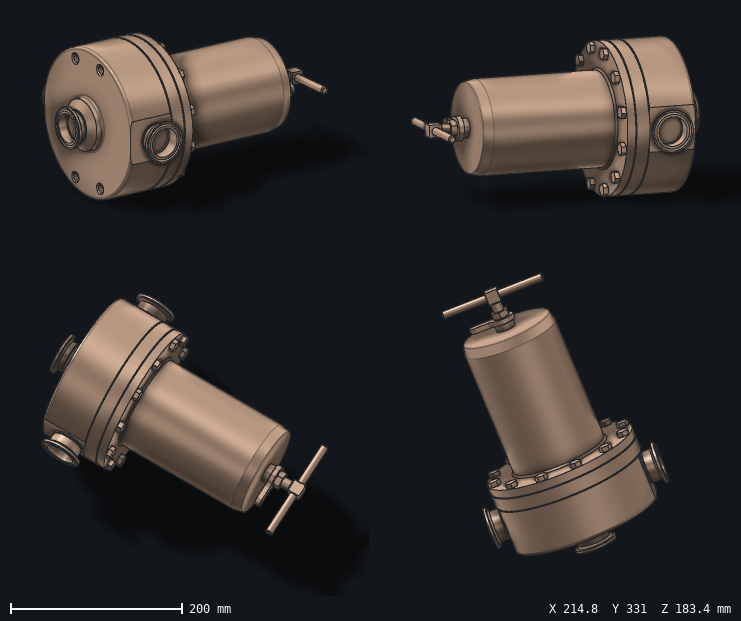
import cadquery as cq
import math


total_length = 331.0
nozzle_span = 214.8
flange_radius = 91.7

body_floor_y = 29.0
nozzle_y = 64.2
body_top_y = 87.5
flange_joint_y = 104.5
flange_top_y = 115.2
bonnet_shoulder_y = 269.0
bonnet_top_y = 281.5
lever_bottom_y = 290.0
lever_top_y = 296.2
nut_top_y = 304.0

body_edge_fillet = 3.3
side_flat_x = 87.7
joint_groove_width = 1.0
joint_groove_depth = 1.0

ferrule_radius = 25.0
ferrule_rim_thickness = 3.3
ferrule_neck_radius = 22.5
ferrule_neck_height = 4.0
ferrule_length = 6.3
pipe_radius = 19.2
bore_radius = 17.5
gasket_groove_radius = 22.0
gasket_groove_width = 2.5
gasket_groove_depth = 1.3
weld_groove_width = 1.0
weld_groove_depth = 0.5
side_weld_gap = 1.5

boss_radius = 31.5
boss_base_fillet = 3.0
boss_shoulder_y = 20.2
boss_end_radius = 20.2
boss_end_y = 13.5

mount_pitch_x = 50.5
mount_pitch_z = 147.0
mount_radius = 5.3
mount_mouth_radius = 7.0
mount_chamfer = mount_mouth_radius - mount_radius
mount_depth = 8.3

bonnet_radius = 57.3
bonnet_top_radius = 54.3
bonnet_base_chamfer = 2.5
bonnet_top_fillet = 1.0

bolt_count = 12
bolt_circle_radius = 83.7
bolt_head_corner_diameter = 15.0
bolt_head_height = 6.0
bolt_head_twist = 15.0
first_bolt_angle = 15.0

collar_radius = 11.5
spindle_radius = 6.5
spindle_end_chamfer = 1.0
nut_width = 19.2
nut_corner_radius = nut_width / math.sqrt(3)
nut_chamfer_height = 1.5
nut_turn = 30.0
lever_hub_radius = 14.5
lever_half_width = 6.5
lever_blend_radius = 6.5
lever_length = 40.7
cross_block = 15.2
hand_bar_length = 126.5
hand_bar_radius = 4.5
hand_bar_chamfer = 1.3


def cylinder_y(radius, y_start, y_end):
    """Round bar about the Y axis between two stations."""
    return (
        cq.Workplane("XZ", origin=(0, y_start, 0))
        .circle(radius)
        .extrude(y_start - y_end)
    )


def ring_y(outer_radius, inner_radius, y_start, y_end):
    """Ring about the Y axis between two stations."""
    return cylinder_y(outer_radius, y_start, y_end).cut(cylinder_y(inner_radius, y_start, y_end))


def revolve_y(sketch):
    """Turn a closed half profile, drawn with x as radius, about the Y axis."""
    return sketch.revolve(360, (0, 0, 0), (0, 1, 0))


def clamp_pipe(length, weld_groove_y):
    """Ferrule and solid pipe along Y with the clamp face at y = 0."""
    pipe = revolve_y(
        cq.Workplane("XY")
        .lineTo(ferrule_radius, 0)
        .lineTo(ferrule_radius, ferrule_rim_thickness)
        .lineTo(ferrule_neck_radius, ferrule_neck_height)
        .lineTo(pipe_radius, ferrule_length)
        .lineTo(pipe_radius, length)
        .lineTo(0, length)
        .close()
    )
    half_groove = gasket_groove_width / 2
    gasket_groove = revolve_y(
        cq.Workplane("XY")
        .moveTo(gasket_groove_radius - half_groove, 0)
        .threePointArc(
            (gasket_groove_radius, gasket_groove_depth),
            (gasket_groove_radius + half_groove, 0),
        )
        .close()
    )
    weld_groove = ring_y(
        ferrule_radius,
        pipe_radius - weld_groove_depth,
        weld_groove_y - weld_groove_width,
        weld_groove_y,
    )
    return pipe.cut(gasket_groove).cut(weld_groove)


def make_body():
    """Body with side flats, a rounded floor edge and grooves at both joints."""
    lower = cylinder_y(flange_radius, body_floor_y, body_top_y)
    lower = lower.faces("<Y").edges().fillet(body_edge_fillet)
    lower_length = body_top_y - body_floor_y
    flats = cq.Workplane("XY").box(2 * side_flat_x, lower_length, 2 * flange_radius)
    lower = lower.intersect(flats.translate((0, body_floor_y + lower_length / 2, 0)))
    body = lower.union(cylinder_y(flange_radius, body_top_y, flange_top_y))
    for joint_y in (body_top_y, flange_joint_y):
        body = body.cut(
            ring_y(
                flange_radius + joint_groove_depth,
                flange_radius - joint_groove_depth,
                joint_y - joint_groove_width,
                joint_y,
            )
        )
    return body


def make_mounting_holes():
    """Four blind holes with chamfered mouths, entering from the body floor."""
    hole = revolve_y(
        cq.Workplane("XY")
        .lineTo(mount_mouth_radius, 0)
        .lineTo(mount_radius, mount_chamfer)
        .lineTo(mount_radius, mount_depth)
        .lineTo(0, mount_depth)
        .close()
    )
    holes = cq.Workplane("XY")
    for x_side in (-1, 1):
        for z_side in (-1, 1):
            x = x_side * mount_pitch_x / 2
            z = z_side * mount_pitch_z / 2
            holes = holes.add(hole.translate((x, body_floor_y, z)))
    return holes.combine()


def make_outlet_boss():
    """Round boss under the body, coned down to the outlet and flared at its root."""
    fillet_y = body_floor_y - boss_base_fillet
    flare_radius = boss_radius + boss_base_fillet
    arc_inset = boss_base_fillet * math.sqrt(0.5)
    return revolve_y(
        cq.Workplane("XY")
        .moveTo(0, boss_end_y)
        .lineTo(boss_end_radius, boss_end_y)
        .lineTo(boss_radius, boss_shoulder_y)
        .lineTo(boss_radius, fillet_y)
        .threePointArc(
            (flare_radius - arc_inset, fillet_y + arc_inset),
            (flare_radius, body_floor_y),
        )
        .lineTo(0, body_floor_y)
        .close()
    )


def make_bonnet():
    """Spring bonnet with a tapered, rounded top and a chamfered weld at its base."""
    bonnet = revolve_y(
        cq.Workplane("XY")
        .moveTo(0, flange_top_y)
        .lineTo(bonnet_radius + bonnet_base_chamfer, flange_top_y)
        .lineTo(bonnet_radius, flange_top_y + bonnet_base_chamfer)
        .lineTo(bonnet_radius, bonnet_shoulder_y)
        .lineTo(bonnet_top_radius, bonnet_top_y)
        .lineTo(0, bonnet_top_y)
        .close()
    )
    return bonnet.faces(">Y").edges().fillet(bonnet_top_fillet)


def make_bolt_heads():
    """Ring of hexagon heads, each turned with its place on the bolt circle."""
    head = (
        cq.Workplane("XZ")
        .polygon(6, bolt_head_corner_diameter)
        .extrude(-bolt_head_height)
        .rotate((0, 0, 0), (0, 1, 0), -bolt_head_twist)
        .translate((bolt_circle_radius, flange_top_y, 0))
    )
    heads = cq.Workplane("XY")
    for index in range(bolt_count):
        angle = first_bolt_angle + index * 360 / bolt_count
        heads = heads.add(head.rotate((0, 0, 0), (0, 1, 0), -angle))
    return heads.combine()


def make_lever():
    """Flat lever: a round hub blended into an arm with a full round end."""
    thickness = lever_top_y - lever_bottom_y
    blend_z = lever_half_width + lever_blend_radius
    center_distance = lever_hub_radius + lever_blend_radius
    blend_x = math.sqrt(center_distance**2 - blend_z**2)
    hub_x = blend_x * lever_hub_radius / center_distance
    hub_z = blend_z * lever_hub_radius / center_distance
    hub_angle = math.pi + math.atan2(blend_z, blend_x)
    arm_angle = math.pi * 3 / 2
    blend_angle = (hub_angle + arm_angle) / 2
    mid_x = blend_x + lever_blend_radius * math.cos(blend_angle)
    mid_z = blend_z + lever_blend_radius * math.sin(blend_angle)
    round_x = lever_length - lever_half_width
    return (
        cq.Workplane("XZ", origin=(0, lever_bottom_y, 0))
        .moveTo(hub_x, hub_z)
        .threePointArc((-lever_hub_radius, 0), (hub_x, -hub_z))
        .threePointArc((mid_x, -mid_z), (blend_x, -lever_half_width))
        .lineTo(round_x, -lever_half_width)
        .threePointArc((lever_length, 0), (round_x, lever_half_width))
        .lineTo(blend_x, lever_half_width)
        .threePointArc((mid_x, mid_z), (hub_x, hub_z))
        .close()
        .extrude(-thickness)
    )


def make_nut():
    """Hexagon nut with corners along Z, chamfered on the lever side."""
    nut = (
        cq.Workplane("XZ", origin=(0, lever_top_y, 0))
        .polygon(6, 2 * nut_corner_radius)
        .extrude(lever_top_y - nut_top_y)
        .rotate((0, 0, 0), (0, 1, 0), nut_turn)
    )
    chamfer_radius = nut_width / 2
    chamfer_cone = revolve_y(
        cq.Workplane("XY")
        .moveTo(0, lever_top_y)
        .lineTo(chamfer_radius, lever_top_y)
        .lineTo(nut_corner_radius, lever_top_y + nut_chamfer_height)
        .lineTo(nut_corner_radius, nut_top_y)
        .lineTo(0, nut_top_y)
        .close()
    )
    return nut.intersect(chamfer_cone)


def make_hand_bar():
    """Square block on the spindle with a round bar through it along X."""
    bar_y = total_length - cross_block / 2
    block = cq.Workplane("XY").box(cross_block, cross_block, cross_block)
    bar = (
        cq.Workplane("YZ")
        .circle(hand_bar_radius)
        .extrude(hand_bar_length / 2, both=True)
        .faces("<X or >X")
        .edges()
        .chamfer(hand_bar_chamfer)
    )
    return block.union(bar).translate((0, bar_y, 0))


def make_spindle():
    """Collar and spindle from the bonnet up to the cross block."""
    block_bottom_y = total_length - cross_block
    collar = cylinder_y(collar_radius, bonnet_top_y, lever_bottom_y)
    spindle = cylinder_y(spindle_radius, lever_bottom_y, block_bottom_y)
    spindle = spindle.faces(">Y").edges().chamfer(spindle_end_chamfer)
    return collar.union(spindle)


def make_side_nozzle():
    """Clamp pipe along +X, reaching from the body flat to the outer clamp face."""
    length = nozzle_span / 2 - side_flat_x
    pipe = clamp_pipe(length, length - side_weld_gap)
    pipe = pipe.cut(cylinder_y(bore_radius, 0, length))
    return pipe.rotate((0, 0, 0), (0, 0, 1), 90).translate((nozzle_span / 2, nozzle_y, 0))


side_nozzle = make_side_nozzle()
outlet = clamp_pipe(boss_end_y, boss_end_y).cut(cylinder_y(bore_radius, 0, boss_end_y))

result = make_body().cut(make_mounting_holes())
for feature in (
    make_outlet_boss(),
    outlet,
    side_nozzle,
    side_nozzle.mirror("YZ"),
    make_bonnet(),
    make_bolt_heads(),
    make_spindle(),
    make_lever(),
    make_nut(),
    make_hand_bar(),
):
    result = result.union(feature)